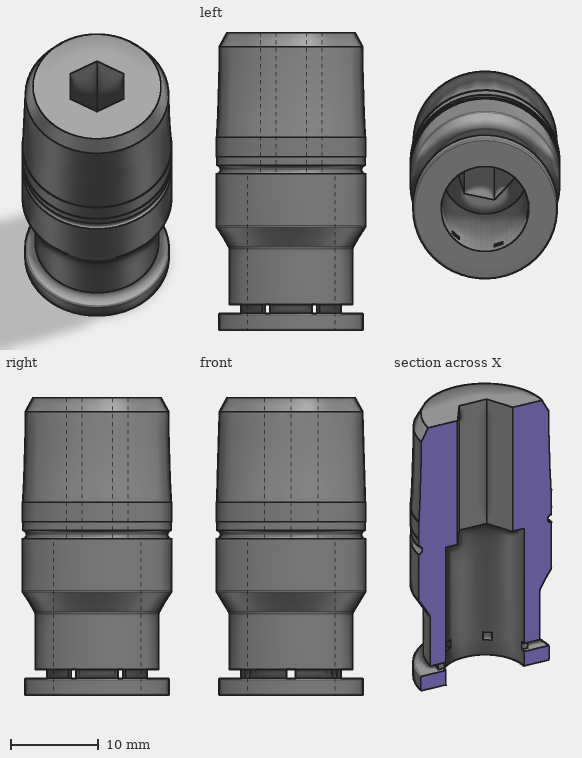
import cadquery as cq
import math

flange_diameter = 16.5
flange_height = 1.95
flange_edge_fillet = 0.17
ring_diameter = 11.5
bore_diameter = 10.0
slot_width = 1.02
slot_spacing = 60
slotted_ring_height = 1.0

total_height = 34.0
neck_diameter = 14.15
body_diameter = 17.1
taper_diameter = 17.0
cap_shoulder_diameter = 16.4
top_face_diameter = 14.62
neck_bottom = flange_height + slotted_ring_height
flare_bottom = 9.45
flare_top = 11.85
groove_bottom = 17.85
groove_width = 1.0
lip_diameter = 17.0
lip_top = 19.82
taper_bottom = 22.05
cap_shoulder = 32.37
flare_fillet = 0.5
neck_edge_fillet = 0.17

hex_across_flats = 6.1
hex_across_corners = hex_across_flats / math.cos(math.pi / 6)
hex_rotation = 30


def flange():
    """Round bottom flange with both rims rounded."""
    disc = cq.Workplane("XY").circle(flange_diameter / 2).extrude(flange_height)
    return disc.edges().fillet(flange_edge_fillet)


def slotted_ring():
    """Ring joining flange and neck, cut into six segments by three slots across the axis."""
    ring = (
        cq.Workplane("XY")
        .workplane(offset=flange_height)
        .circle(ring_diameter / 2)
        .extrude(slotted_ring_height)
    )
    for angle in range(0, 180, slot_spacing):
        slot = (
            cq.Workplane("XY")
            .workplane(offset=flange_height)
            .rect(slot_width, ring_diameter)
            .extrude(slotted_ring_height)
            .rotate((0, 0, 0), (0, 0, 1), angle)
        )
        ring = ring.cut(slot)
    return ring


def body():
    """Revolved outer shape from the neck to the top face."""
    groove_top = groove_bottom + groove_width
    groove_floor_radius = (body_diameter - groove_width) / 2
    profile = (
        cq.Workplane("XZ")
        .moveTo(0, neck_bottom)
        .lineTo(neck_diameter / 2, neck_bottom)
        .lineTo(neck_diameter / 2, flare_bottom)
        .lineTo(body_diameter / 2, flare_top)
        .lineTo(body_diameter / 2, groove_bottom)
        .threePointArc(
            (groove_floor_radius, groove_bottom + groove_width / 2),
            (lip_diameter / 2, groove_top),
        )
        .lineTo(lip_diameter / 2, lip_top)
        .lineTo(body_diameter / 2, lip_top)
        .lineTo(body_diameter / 2, taper_bottom)
        .lineTo(taper_diameter / 2, taper_bottom)
        .lineTo(cap_shoulder_diameter / 2, cap_shoulder)
        .lineTo(top_face_diameter / 2, total_height)
        .lineTo(0, total_height)
        .close()
    )
    solid = profile.revolve(360, (0, 0, 0), (0, 1, 0))
    flare_edges = cq.selectors.BoxSelector(
        (-body_diameter, -body_diameter, flare_bottom - flare_fillet),
        (body_diameter, body_diameter, flare_top + flare_fillet),
    )
    solid = solid.edges("%CIRCLE").edges(flare_edges).fillet(flare_fillet)
    return solid.faces("<Z").edges().fillet(neck_edge_fillet)


def tube_bore():
    """Round bore entering from below and ending level with the groove."""
    return cq.Workplane("XY").circle(bore_diameter / 2).extrude(groove_bottom)


def hex_passage():
    """Hexagonal hole along the whole axis with corners on the Y axis."""
    return (
        cq.Workplane("XY")
        .polygon(6, hex_across_corners)
        .extrude(total_height)
        .rotate((0, 0, 0), (0, 0, 1), hex_rotation)
    )


result = flange().union(slotted_ring()).union(body())
result = result.cut(tube_bore()).cut(hex_passage())